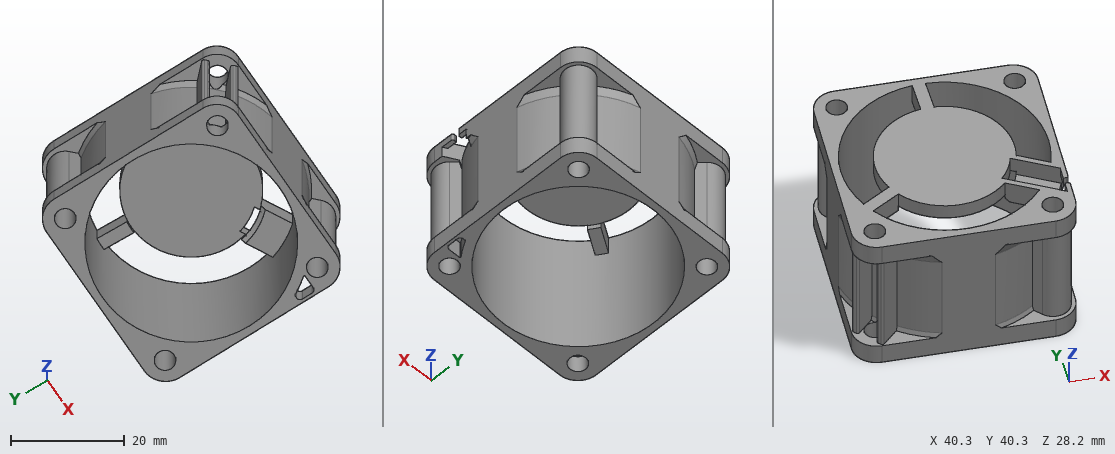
import cadquery as cq
import math

SIDE = 40.3
HEIGHT = 28.2
CORNER_RADIUS = 4.5
FLANGE = 4.05
FLANGE_TOP = HEIGHT - FLANGE

BORE_RADIUS = 18.7
SHELL_RADIUS = 20.7
UPPER_FLARE = 0.5
UPPER_FLARE_HEIGHT = 1.95
LOWER_FLARE = 0.3
LOWER_FLARE_HEIGHT = 0.95

HOLE_OFFSET = 16.0
HOLE_RADIUS = 1.9
BOSS_RADIUS = 3.25
HOLE_DISTANCE = HOLE_OFFSET * math.sqrt(2)
BOSS_ROOT = (BORE_RADIUS + SHELL_RADIUS) / 2
WIRE_BOSS_ANGLE = 315.0
ROUND_BOSS_ANGLES = (45.0, 135.0, WIRE_BOSS_ANGLE)
OPEN_BOSS_ANGLE = 225.0
OPEN_BOSS_TIP = 25.05
OPEN_BOSS_FILLET = 0.4

HUB_RADIUS = 12.57
HUB_THICKNESS = 3.0
SPOKE_WIDTH = 2.4
SPOKE_ANGLES = (92.0, 212.0)

CHANNEL_ANGLE = -28.0
CHANNEL_WIDTH = 5.25
CHANNEL_WALL = 1.0
CHANNEL_BOTTOM = 23.78
CHANNEL_FLOOR_TOP = 24.6
CHANNEL_START = 11.53
CHANNEL_REACH = SIDE

LIP_THICKNESS = 0.93
LIP_HEIGHT = 1.6
GAP_TOP = -9.8
GAP_BOTTOM = -11.1
GAP_ROUNDING = 0.4

NOTCH_END_X = 19.55
NOTCH_BOTTOM = -13.3
NOTCH_START_X = 16.1
NOTCH_ROUNDING = 0.73


def disc(radius, bottom, top):
    return cq.Workplane("XY").workplane(offset=bottom).circle(radius).extrude(top - bottom)


def block(x_range, y_range, z_range):
    size = [high - low for low, high in (x_range, y_range, z_range)]
    corner = (x_range[0], y_range[0], z_range[0])
    return cq.Workplane("XY").box(*size, centered=False).translate(corner)


def radial_bar(start, end, width, bottom, top, angle):
    """Bar centred on a ray from the Z axis at the given angle."""
    bar = block((start, end), (-width / 2, width / 2), (bottom, top))
    return bar.rotate((0, 0, 0), (0, 0, 1), angle)


def rounded_square(bottom, top):
    plate = cq.Workplane("XY").workplane(offset=bottom).rect(SIDE, SIDE).extrude(top - bottom)
    return plate.edges("|Z").fillet(CORNER_RADIUS)


def duct_wall():
    """Round wall that flares towards both flanges, trimmed flat by the square outline."""
    wall = (
        cq.Workplane("XZ")
        .moveTo(0, FLANGE)
        .lineTo(SHELL_RADIUS + LOWER_FLARE, FLANGE)
        .lineTo(SHELL_RADIUS, FLANGE + LOWER_FLARE_HEIGHT)
        .lineTo(SHELL_RADIUS, FLANGE_TOP - UPPER_FLARE_HEIGHT)
        .lineTo(SHELL_RADIUS + UPPER_FLARE, FLANGE_TOP)
        .lineTo(0, FLANGE_TOP)
        .close()
        .revolve(360, (0, 0, 0), (0, 1, 0))
    )
    return wall.intersect(rounded_square(FLANGE, FLANGE_TOP))


def round_boss(angle):
    flanks = radial_bar(BOSS_ROOT, HOLE_DISTANCE, 2 * BOSS_RADIUS, FLANGE, FLANGE_TOP, angle)
    direction = math.radians(angle)
    centre = (HOLE_DISTANCE * math.cos(direction), HOLE_DISTANCE * math.sin(direction), 0)
    return flanks.union(disc(BOSS_RADIUS, FLANGE, FLANGE_TOP).translate(centre))


def open_boss(angle):
    """Two parallel ribs beside the screw hole, open towards the corner."""
    ribs = None
    for side in (-1, 1):
        inner, outer = sorted((side * HOLE_RADIUS, side * BOSS_RADIUS))
        rib = block((BOSS_ROOT, OPEN_BOSS_TIP), (inner, outer), (FLANGE, FLANGE_TOP))
        rib = rib.edges("|Z and >X").fillet(OPEN_BOSS_FILLET)
        ribs = rib if ribs is None else ribs.union(rib)
    return ribs.rotate((0, 0, 0), (0, 0, 1), angle)


def housing():
    body = rounded_square(0, FLANGE).union(duct_wall()).union(rounded_square(FLANGE_TOP, HEIGHT))
    for angle in ROUND_BOSS_ANGLES:
        body = body.union(round_boss(angle))
    body = body.union(open_boss(OPEN_BOSS_ANGLE))
    body = body.cut(disc(BORE_RADIUS, 0, HEIGHT))
    holes = (
        cq.Workplane("XY")
        .rect(2 * HOLE_OFFSET, 2 * HOLE_OFFSET, forConstruction=True)
        .vertices()
        .circle(HOLE_RADIUS)
        .extrude(HEIGHT)
    )
    return body.cut(holes)


def spoke(width, bottom, angle):
    """Bar that spans from the hub to the bore."""
    bar = radial_bar(0, SIDE / 2, width, bottom, HEIGHT, angle)
    return bar.intersect(disc(BORE_RADIUS, bottom, HEIGHT)).cut(disc(HUB_RADIUS, bottom, HEIGHT))


def channel_spoke():
    """Wide spoke whose lower inner edge is bevelled below the hub."""
    bevel = CHANNEL_FLOOR_TOP - CHANNEL_BOTTOM
    clearance = cq.Workplane("XY").add(
        cq.Solid.makeCone(HUB_RADIUS + bevel, HUB_RADIUS, bevel, cq.Vector(0, 0, CHANNEL_BOTTOM))
    )
    return spoke(CHANNEL_WIDTH + 2 * CHANNEL_WALL, CHANNEL_BOTTOM, CHANNEL_ANGLE).cut(clearance)


def channel_bar(bottom, top):
    return radial_bar(0, CHANNEL_REACH, CHANNEL_WIDTH, bottom, top, CHANNEL_ANGLE)


def channel_space():
    """Trough along the spoke, the notch in the hub edge and the outlet past the duct wall."""
    lip_inner = SIDE / 2 - LIP_THICKNESS
    trough = channel_bar(CHANNEL_FLOOR_TOP, HEIGHT)
    trough = trough.cut(disc(CHANNEL_START, CHANNEL_FLOOR_TOP, HEIGHT))
    lips = block((lip_inner, SIDE), (-SIDE, 0), (HEIGHT - LIP_HEIGHT, HEIGHT))
    outlet_bottom = FLANGE_TOP - UPPER_FLARE_HEIGHT
    outlet = channel_bar(outlet_bottom, CHANNEL_FLOOR_TOP)
    outlet = outlet.cut(disc(SHELL_RADIUS, outlet_bottom, CHANNEL_FLOOR_TOP))
    return trough.cut(lips).union(outlet)


def lip_gap():
    """Gap between the lips, rounded wider at the outer face."""
    inner = SIDE / 2 - LIP_THICKNESS
    outer = SIDE / 2
    tangent = outer - GAP_ROUNDING
    reach = GAP_ROUNDING * (1 - math.sqrt(0.5))
    return (
        cq.Workplane("XY")
        .workplane(offset=HEIGHT - LIP_HEIGHT)
        .moveTo(inner, GAP_BOTTOM)
        .lineTo(tangent, GAP_BOTTOM)
        .threePointArc((outer - reach, GAP_BOTTOM - reach), (outer, GAP_BOTTOM - GAP_ROUNDING))
        .lineTo(outer, GAP_TOP + GAP_ROUNDING)
        .threePointArc((outer - reach, GAP_TOP + reach), (tangent, GAP_TOP))
        .lineTo(inner, GAP_TOP)
        .close()
        .extrude(LIP_HEIGHT)
    )


def wire_notch():
    """Rounded opening through the lower flange and its flare, clear of the duct wall and boss."""
    top = FLANGE + LOWER_FLARE_HEIGHT
    notch = block((NOTCH_START_X, NOTCH_END_X), (NOTCH_BOTTOM, GAP_TOP), (0, top))
    notch = notch.edges("|Z and >X").fillet(NOTCH_ROUNDING)
    return notch.cut(disc(SHELL_RADIUS, 0, top)).cut(round_boss(WIRE_BOSS_ANGLE))


result = housing().union(disc(HUB_RADIUS, HEIGHT - HUB_THICKNESS, HEIGHT))
for spoke_angle in SPOKE_ANGLES:
    result = result.union(spoke(SPOKE_WIDTH, FLANGE_TOP, spoke_angle))
result = result.union(channel_spoke())
result = result.cut(channel_space()).cut(lip_gap()).cut(wire_notch())